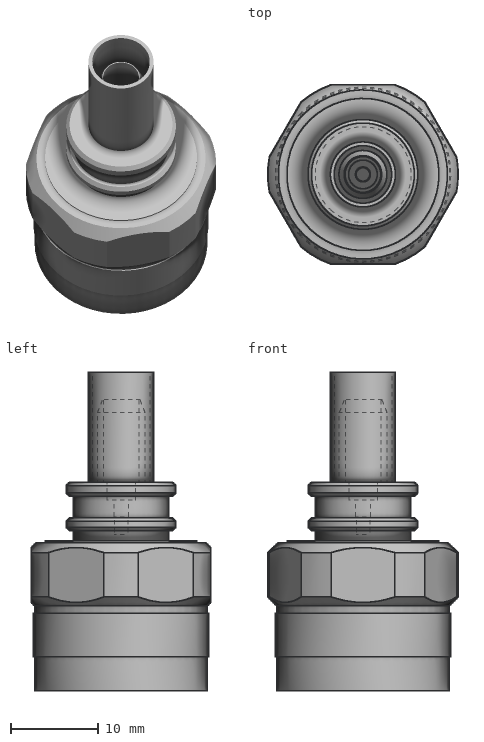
import cadquery as cq
import math

SLEEVE_RADIUS = 9.92
BAND_RADIUS = 10.06
BAND_BOTTOM_Z = 3.9
BAND_TOP_Z = 8.9

HEX_BOTTOM_Z = 9.75
HEX_TOP_Z = 17.0
HEX_ACROSS_FLATS = 20.6
HEX_ACROSS_CORNERS = HEX_ACROSS_FLATS / math.cos(math.radians(30))
HEX_CORNER_RADIUS = 10.925
HEX_TOP_FACE_RADIUS = 9.7
HEX_TOP_CHAMFER_HEIGHT = 1.15
HEX_BOTTOM_CHAMFER = HEX_CORNER_RADIUS - SLEEVE_RADIUS

DISC_RADIUS = 8.72
DISC_TOP_Z = 17.2

NECK_RADIUS = 5.5
COLLAR_RADIUS = 6.3
COLLAR_CHAMFER = 0.4
LOWER_COLLAR_Z = 18.37
LOWER_COLLAR_HEIGHT = 1.45
UPPER_COLLAR_Z = 22.3
UPPER_COLLAR_HEIGHT = 1.63
NECK_TOP_Z = UPPER_COLLAR_Z + UPPER_COLLAR_HEIGHT

TUBE_RADIUS = 3.73
TUBE_BORE_RADIUS = 3.3
TUBE_TOP_Z = 36.55

FERRULE_TIP_RECESS = 3.13
FERRULE_RADIUS = 2.75
FERRULE_TIP_RADIUS = 2.15
FERRULE_TIP_Z = TUBE_TOP_Z - FERRULE_TIP_RECESS
FERRULE_TAPER_LENGTH = 1.5
FERRULE_BORE_RADIUS = 2.05
FERRULE_BORE_FLOOR_Z = NECK_TOP_Z

STEP_RADIUS = 1.65
STEP_DEPTH = 2.0
PIN_HOLE_RADIUS = 0.86
PIN_HOLE_DEPTH = 2.0
PIN_TIP_RADIUS = 0.78
PIN_TIP_DEPTH = 2.0


def cylinder(radius, bottom_z, top_z):
    """Solid cylinder on the Z axis between two heights."""
    return cq.Workplane("XY").workplane(offset=bottom_z).circle(radius).extrude(top_z - bottom_z)


def make_sleeve():
    """Round sleeve with its raised band, reaching up to the nut."""
    sleeve = cylinder(SLEEVE_RADIUS, 0, HEX_BOTTOM_Z)
    return sleeve.union(cylinder(BAND_RADIUS, BAND_BOTTOM_Z, BAND_TOP_Z))


def make_hex_nut():
    """Hexagon with flats facing +/-Y, trimmed by a turned blank with conical ends."""
    height = HEX_TOP_Z - HEX_BOTTOM_Z
    hexagon = (
        cq.Workplane("XY")
        .workplane(offset=HEX_BOTTOM_Z)
        .polygon(6, HEX_ACROSS_CORNERS)
        .extrude(height)
    )
    turned_blank = (
        cq.Workplane("XZ")
        .moveTo(0, HEX_BOTTOM_Z)
        .lineTo(SLEEVE_RADIUS, HEX_BOTTOM_Z)
        .lineTo(HEX_CORNER_RADIUS, HEX_BOTTOM_Z + HEX_BOTTOM_CHAMFER)
        .lineTo(HEX_CORNER_RADIUS, HEX_TOP_Z - HEX_TOP_CHAMFER_HEIGHT)
        .lineTo(HEX_TOP_FACE_RADIUS, HEX_TOP_Z)
        .lineTo(0, HEX_TOP_Z)
        .close()
        .revolve(360, (0, 0, 0), (0, 1, 0))
    )
    return hexagon.intersect(turned_blank)


def make_collar(bottom_z, height):
    """Collar around the neck, chamfered on both rims."""
    return cylinder(COLLAR_RADIUS, bottom_z, bottom_z + height).edges().chamfer(COLLAR_CHAMFER)


def make_neck():
    """Disc on the nut, then the neck with its two collars."""
    disc = cylinder(DISC_RADIUS, HEX_TOP_Z, DISC_TOP_Z)
    neck = disc.union(cylinder(NECK_RADIUS, DISC_TOP_Z, NECK_TOP_Z))
    neck = neck.union(make_collar(LOWER_COLLAR_Z, LOWER_COLLAR_HEIGHT))
    return neck.union(make_collar(UPPER_COLLAR_Z, UPPER_COLLAR_HEIGHT))


def make_crimp_tube():
    """Open thin-walled tube standing on the neck."""
    tube = cylinder(TUBE_RADIUS, NECK_TOP_Z, TUBE_TOP_Z)
    return tube.cut(cylinder(TUBE_BORE_RADIUS, NECK_TOP_Z, TUBE_TOP_Z))


def make_ferrule():
    """Round post that tapers to a thin lip at its tip."""
    return (
        cq.Workplane("XZ")
        .moveTo(0, NECK_TOP_Z)
        .lineTo(FERRULE_RADIUS, NECK_TOP_Z)
        .lineTo(FERRULE_RADIUS, FERRULE_TIP_Z - FERRULE_TAPER_LENGTH)
        .lineTo(FERRULE_TIP_RADIUS, FERRULE_TIP_Z)
        .lineTo(0, FERRULE_TIP_Z)
        .close()
        .revolve(360, (0, 0, 0), (0, 1, 0))
    )


def make_stepped_bore():
    """Ferrule bore that narrows in three steps, the last two forming the blind pin hole."""
    step_floor_z = FERRULE_BORE_FLOOR_Z - STEP_DEPTH
    pin_hole_floor_z = step_floor_z - PIN_HOLE_DEPTH
    bore = cylinder(FERRULE_BORE_RADIUS, FERRULE_BORE_FLOOR_Z, FERRULE_TIP_Z)
    bore = bore.union(cylinder(STEP_RADIUS, step_floor_z, FERRULE_BORE_FLOOR_Z))
    bore = bore.union(cylinder(PIN_HOLE_RADIUS, pin_hole_floor_z, step_floor_z))
    return bore.union(cylinder(PIN_TIP_RADIUS, pin_hole_floor_z - PIN_TIP_DEPTH, pin_hole_floor_z))


body = make_sleeve().union(make_hex_nut()).union(make_neck())
body = body.union(make_crimp_tube()).union(make_ferrule())
result = body.cut(make_stepped_bore())